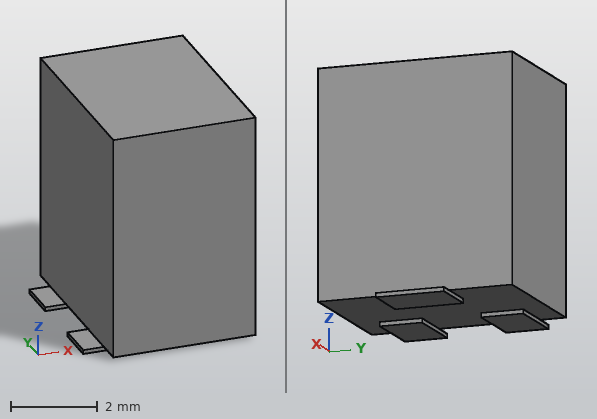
import cadquery as cq

total_height = 5.65
total_length = 4.36

housing_length = 3.515
housing_width = 4.8

terminal_thickness = 0.1
left_overhang = 0.51
right_overhang = total_length - housing_length - left_overhang
left_terminal_length = 1.645
left_terminal_width = 1.045
left_terminal_pitch = 2.505
right_terminal_length = 1.275
right_terminal_width = 1.685

left_end = -housing_length / 2 - left_overhang
right_end = housing_length / 2 + right_overhang


def make_housing():
    """Plain block resting on top of the terminals."""
    return (
        cq.Workplane("XY", origin=(0, 0, terminal_thickness))
        .rect(housing_length, housing_width)
        .extrude(total_height - terminal_thickness)
    )


def make_terminal(center_x, center_y, length, width):
    """Flat rectangular plate with its underside at Z = 0."""
    return (
        cq.Workplane("XY", origin=(center_x, center_y, 0))
        .rect(length, width)
        .extrude(terminal_thickness)
    )


housing = make_housing()

left_terminals = []
for side in (-1, 1):
    left_terminal = make_terminal(
        left_end + left_terminal_length / 2,
        side * left_terminal_pitch / 2,
        left_terminal_length,
        left_terminal_width,
    )
    left_terminals.append(left_terminal.val())

right_terminal = make_terminal(
    right_end - right_terminal_length / 2,
    0,
    right_terminal_length,
    right_terminal_width,
)

result = cq.Compound.makeCompound([housing.val(), *left_terminals, right_terminal.val()])